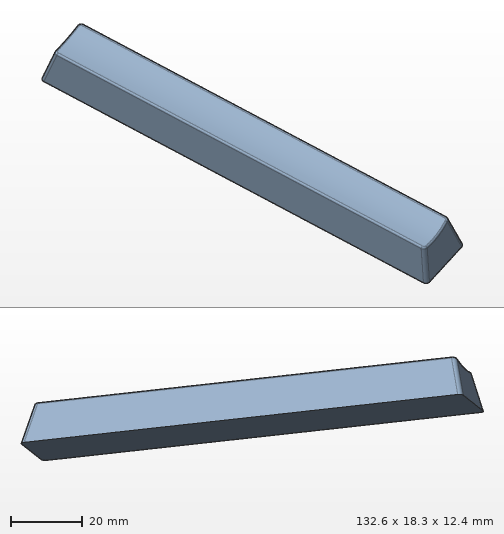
import cadquery as cq

length = 132.6
width = 18.3

draft_angle = 13.97
corner_radius = 1.26

dish_radius = 19.87
dish_low_y = -2.39
dish_low_z = 10.74
rim_fillet = 0.61

blank_height = 15.0


def tapered_block():
    block = cq.Workplane("XY").rect(length, width).extrude(blank_height, taper=draft_angle)
    slanted_edges = block.edges("not(#Z or |X or |Y)")
    return slanted_edges.fillet(corner_radius)


def dish_cutter():
    axis_z = dish_low_z + dish_radius
    profile = cq.Workplane("YZ").center(dish_low_y, axis_z).circle(dish_radius)
    return profile.extrude(length / 2, both=True)


def key_cap():
    dished = tapered_block().cut(dish_cutter())
    lowest_dish_point = (0, dish_low_y, dish_low_z)
    dish_face = dished.faces(cq.selectors.NearestToPointSelector(lowest_dish_point))
    return dish_face.edges().fillet(rim_fillet)


result = key_cap()